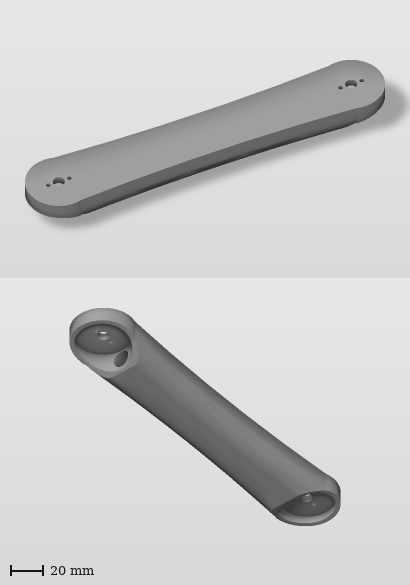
import cadquery as cq
import math

LENGTH = 242.0
WIDTH = 42.0
HEIGHT = 21.0
OVERCUT = 2.5

END_RADIUS = WIDTH / 2
END_CENTRE = LENGTH / 2 - END_RADIUS
BODY_END = 94.0
WAIST_WIDTH = 34.4
BOTTOM_FILLET = 11.0
BODY_END_HALF_WIDTH = math.sqrt(END_RADIUS**2 - (BODY_END - END_CENTRE) ** 2)

TIP_THICKNESS = 10.2
ARC_MIDDLE = (101.6, -11.9)
RAMP_START = (93.0, -14.0)
RAMP_FOOT = 80.3

POCKET_DIAMETER = 36.0
POCKET_CEILING = 5.0
CHANNEL_DIAMETER = 11.5
CHANNEL_DEPTH = 11.9

CENTRE_HOLE_DIAMETER = 7.5
SCREW_HOLE_DIAMETER = 3.0
SCREW_HOLE_OFFSET = 7.3


def make_body():
    """Bar with concave sides and rounded lower long edges."""
    half = BODY_END_HALF_WIDTH
    bar = (
        cq.Workplane("XY")
        .moveTo(-half, -BODY_END)
        .lineTo(half, -BODY_END)
        .threePointArc((WAIST_WIDTH / 2, 0), (half, BODY_END))
        .lineTo(-half, BODY_END)
        .threePointArc((-WAIST_WIDTH / 2, 0), (-half, -BODY_END))
        .close()
        .extrude(-HEIGHT)
    )
    return bar.faces("<Z").edges("not |X").fillet(BOTTOM_FILLET)


def make_end(side):
    """Round end, cut off flat where it meets the body."""
    chord = side * BODY_END
    tip = side * LENGTH / 2
    return (
        cq.Workplane("XY")
        .moveTo(-BODY_END_HALF_WIDTH, chord)
        .threePointArc((0, tip), (BODY_END_HALF_WIDTH, chord))
        .close()
        .extrude(-HEIGHT)
    )


def make_underside_cut(side):
    """Material removed below the arc and ramp at one end."""
    tip = side * LENGTH / 2
    beyond_tip = side * (LENGTH / 2 + OVERCUT)
    below = -HEIGHT - OVERCUT
    return (
        cq.Workplane("YZ")
        .moveTo(beyond_tip, -TIP_THICKNESS)
        .lineTo(tip, -TIP_THICKNESS)
        .threePointArc((side * ARC_MIDDLE[0], ARC_MIDDLE[1]), (side * RAMP_START[0], RAMP_START[1]))
        .lineTo(side * RAMP_FOOT, -HEIGHT)
        .lineTo(side * RAMP_FOOT, below)
        .lineTo(beyond_tip, below)
        .close()
        .extrude(END_RADIUS + OVERCUT, both=True)
    )


def make_pocket(side):
    """Round pocket open at the underside."""
    return (
        cq.Workplane("XY", origin=(0, side * END_CENTRE, -POCKET_CEILING))
        .circle(POCKET_DIAMETER / 2)
        .extrude(-HEIGHT)
    )


def make_holes(side):
    """Centre hole with a screw hole on either side of it along the bar."""
    top = cq.Workplane("XY", origin=(0, side * END_CENTRE, 0))
    centre = top.circle(CENTRE_HOLE_DIAMETER / 2).extrude(-HEIGHT)
    screws = (
        top.pushPoints([(0, -SCREW_HOLE_OFFSET), (0, SCREW_HOLE_OFFSET)])
        .circle(SCREW_HOLE_DIAMETER / 2)
        .extrude(-HEIGHT)
    )
    return centre.union(screws)


result = make_body()
for end_side in (-1, 1):
    result = result.union(make_end(end_side))
for end_side in (-1, 1):
    result = result.cut(make_underside_cut(end_side))
    result = result.cut(make_pocket(end_side))
    result = result.cut(make_holes(end_side))

channel = (
    cq.Workplane("XZ", origin=(0, 0, -CHANNEL_DEPTH))
    .circle(CHANNEL_DIAMETER / 2)
    .extrude(END_CENTRE, both=True)
)
result = result.cut(channel)